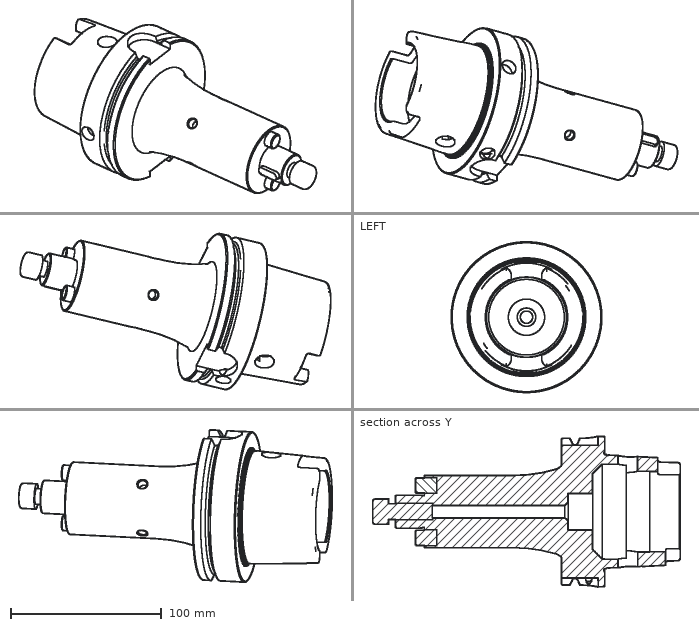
import cadquery as cq
import math


SHANK_LENGTH = 50.0
MOUTH_RADIUS = 35.0
TAPER_ROOT_RADIUS = 37.7
MOUTH_ROUND = 1.8
ROOT_GROOVE_START = -2.5
ROOT_GROOVE_END = -0.8
ROOT_GROOVE_DEPTH = 0.5
ROOT_LAND_RADIUS = 38.0
FACE_RELIEF_INNER_RADIUS = 38.5
FACE_RELIEF_RADIUS = 39.4
FACE_RELIEF_DEPTH = 0.6

BORE_RADIUS = 26.5
BORE_CHAMFER = 0.8
BORE_STRAIGHT_LENGTH = 20.4
BORE_RELIEF_RADIUS = 26.7
BORE_RELIEF_DEPTH = 35.9
BORE_RECESS_RADIUS = 31.5
BORE_FLOOR_RADIUS = 25.0
BORE_DEPTH = 58.1
COOLANT_SEAT_RADIUS = 12.0
COOLANT_SEAT_DEPTH = 16.3
COOLANT_HOLE_RADIUS = 4.0
COOLANT_COUNTERSINK_RADIUS = 6.1

SLOT_HALF_WIDTH = 10.0
SLOT_WALL_TOP = 27.3
SLOT_SHOULDER_RADIUS = 6.0
SLOT_FLARE_HALF_WIDTH = 20.4
SLOT_FLOOR_FILLET = 1.8
UPPER_SLOT_DEPTH = 14.9
LOWER_SLOT_DEPTH = 9.8

CROSS_HOLE_DIAMETER = 12.6
CROSS_HOLE_X = -15.0

FLANGE_RADIUS = 50.0
FLANGE_WIDTH = 29.0
FLANGE_CHAMFER = 0.6
FLANGE_BACK_CHAMFER = 0.8
V_GROOVE_CENTRE = 20.0
V_GROOVE_TOP_WIDTH = 6.5
V_GROOVE_FLOOR_WIDTH = 2.0
V_GROOVE_BEND_X = 18.0
V_GROOVE_BEND_RADIUS = 46.9
V_GROOVE_FLOOR_RADIUS = 45.7

KEYWAY_WIDTH = 22.0
KEYWAY_START = 4.7
KEYWAY_FLOOR = 44.0

RIM_HOLE_DIAMETER = 10.0
RIM_HOLE_DEPTH = 6.1
SIDE_HOLE_X = 7.0
LOWER_HOLE_X = 8.8
LOWER_HOLE_ANGLE = 73.0

NECK_BASE_RADIUS = 30.5
NECK_BASE_ARC = 6.7
NECK_ARC_START = 32.6
NECK_ARC_START_RADIUS = 28.1
BODY_START = 61.0
BODY_RADIUS = 24.0
BODY_END = 119.9
BODY_CHAMFER = 0.6

BODY_HOLE_X = 68.7
BODY_HOLE_DIAMETER = 6.1
BODY_HOLE_MOUTH_DIAMETER = 7.1
BODY_HOLE_CHAMFER_DEPTH = 0.6
BODY_HOLE_DEPTH = 7.1
BODY_HOLE_ANGLES = (45.0, 135.0, 225.0, 315.0)

ARBOR_RADIUS = 11.0
ARBOR_LENGTH = 19.0
ARBOR_CHAMFER = 0.6
UNDERCUT_DEPTH = 0.5
UNDERCUT_FLAT = 0.8
UNDERCUT_LENGTH = 2.2

KEY_WIDTH = 5.7
KEY_LENGTH = 14.7
KEY_START = BODY_END + 1.5
KEY_TOP = 13.3
KEY_SEAT = 7.1
KEY_SEAT_CLEARANCE = 1.0

PIN_DIAMETER = 10.2
PIN_OFFSET = 17.3
PIN_PROJECTION = 5.7
PIN_SEAT_DEPTH = 8.2
PIN_CHAMFER = 0.6

SCREW_RADIUS = 5.3
SCREW_SEAT_DEPTH = 24.5
SCREW_HEAD_RADIUS = 8.46
SCREW_HEAD_START = 143.3
SCREW_HEAD_END = 204.0 - SHANK_LENGTH
SCREW_HEAD_ROUND = 1.8

ARBOR_END = BODY_END + ARBOR_LENGTH
SCREW_START = ARBOR_END - SCREW_SEAT_DEPTH


def revolve_about_x(profile):
    """Revolve a closed profile, drawn as (x, radius), about the tool axis."""
    return profile.close().revolve(360, (0, 0, 0), (1, 0, 0))


def x_cylinder(radius, start, end):
    """Cylinder on the tool axis from one X position to another."""
    return cq.Workplane("YZ").workplane(offset=start).circle(radius).extrude(end - start)


def make_outer_shape():
    """Revolved outer shape of the shank, flange, neck, body and arbor."""
    taper_slope = (TAPER_ROOT_RADIUS - MOUTH_RADIUS) / SHANK_LENGTH
    groove_edge_radius = TAPER_ROOT_RADIUS + taper_slope * ROOT_GROOVE_START
    groove_middle = (ROOT_GROOVE_START + ROOT_GROOVE_END) / 2
    groove_half_top = V_GROOVE_TOP_WIDTH / 2
    groove_half_floor = V_GROOVE_FLOOR_WIDTH / 2

    neck_length = BODY_START - NECK_ARC_START
    neck_rise = NECK_ARC_START_RADIUS - BODY_RADIUS
    neck_arc_radius = (neck_length**2 + neck_rise**2) / (2 * neck_rise)
    neck_middle_rise = neck_arc_radius - math.sqrt(neck_arc_radius**2 - (neck_length / 2) ** 2)
    neck_middle = (BODY_START - neck_length / 2, BODY_RADIUS + neck_middle_rise)

    profile = (
        cq.Workplane("XZ")
        .moveTo(-SHANK_LENGTH, 0)
        .lineTo(-SHANK_LENGTH, MOUTH_RADIUS)
        .lineTo(ROOT_GROOVE_START, groove_edge_radius)
        .lineTo(groove_middle, groove_edge_radius - ROOT_GROOVE_DEPTH)
        .lineTo(ROOT_GROOVE_END, ROOT_LAND_RADIUS)
        .lineTo(0, ROOT_LAND_RADIUS)
        .lineTo(FACE_RELIEF_DEPTH, FACE_RELIEF_INNER_RADIUS)
        .lineTo(FACE_RELIEF_DEPTH, FACE_RELIEF_RADIUS)
        .lineTo(0, FACE_RELIEF_RADIUS)
        .lineTo(0, FLANGE_RADIUS - FLANGE_CHAMFER)
        .lineTo(FLANGE_CHAMFER, FLANGE_RADIUS)
        .lineTo(V_GROOVE_CENTRE - groove_half_top, FLANGE_RADIUS)
        .lineTo(V_GROOVE_BEND_X, V_GROOVE_BEND_RADIUS)
        .lineTo(V_GROOVE_CENTRE - groove_half_floor, V_GROOVE_FLOOR_RADIUS)
        .lineTo(V_GROOVE_CENTRE + groove_half_floor, V_GROOVE_FLOOR_RADIUS)
        .lineTo(V_GROOVE_CENTRE + groove_half_top, FLANGE_RADIUS)
        .lineTo(FLANGE_WIDTH - FLANGE_BACK_CHAMFER, FLANGE_RADIUS)
        .lineTo(FLANGE_WIDTH, FLANGE_RADIUS - FLANGE_BACK_CHAMFER)
        .lineTo(FLANGE_WIDTH, NECK_BASE_RADIUS)
        .radiusArc((NECK_ARC_START, NECK_ARC_START_RADIUS), -NECK_BASE_ARC)
        .threePointArc(neck_middle, (BODY_START, BODY_RADIUS))
        .lineTo(BODY_END - BODY_CHAMFER, BODY_RADIUS)
        .lineTo(BODY_END, BODY_RADIUS - BODY_CHAMFER)
        .lineTo(BODY_END, ARBOR_RADIUS - UNDERCUT_DEPTH)
        .lineTo(BODY_END + UNDERCUT_FLAT, ARBOR_RADIUS - UNDERCUT_DEPTH)
        .lineTo(BODY_END + UNDERCUT_LENGTH, ARBOR_RADIUS)
        .lineTo(ARBOR_END - ARBOR_CHAMFER, ARBOR_RADIUS)
        .lineTo(ARBOR_END, ARBOR_RADIUS - ARBOR_CHAMFER)
        .lineTo(ARBOR_END, 0)
    )
    return revolve_about_x(profile)


def make_bore():
    """Shank bore with its coolant seat and the coolant hole that leads to the screw."""
    bore_end = BORE_DEPTH - SHANK_LENGTH
    floor_chamfer = BORE_RECESS_RADIUS - BORE_FLOOR_RADIUS
    seat_end = bore_end + COOLANT_SEAT_DEPTH
    countersink = COOLANT_COUNTERSINK_RADIUS - COOLANT_HOLE_RADIUS
    profile = (
        cq.Workplane("XZ")
        .moveTo(-SHANK_LENGTH, 0)
        .lineTo(-SHANK_LENGTH, BORE_RADIUS + BORE_CHAMFER)
        .lineTo(BORE_CHAMFER - SHANK_LENGTH, BORE_RADIUS)
        .lineTo(BORE_STRAIGHT_LENGTH - SHANK_LENGTH, BORE_RADIUS)
        .lineTo(BORE_STRAIGHT_LENGTH - SHANK_LENGTH, BORE_RELIEF_RADIUS)
        .lineTo(BORE_RELIEF_DEPTH - SHANK_LENGTH, BORE_RELIEF_RADIUS)
        .lineTo(BORE_RELIEF_DEPTH - SHANK_LENGTH, BORE_RECESS_RADIUS)
        .lineTo(bore_end - floor_chamfer, BORE_RECESS_RADIUS)
        .lineTo(bore_end, BORE_FLOOR_RADIUS)
        .lineTo(bore_end, COOLANT_SEAT_RADIUS)
        .lineTo(seat_end, COOLANT_SEAT_RADIUS)
        .lineTo(seat_end, COOLANT_COUNTERSINK_RADIUS)
        .lineTo(seat_end + countersink, COOLANT_HOLE_RADIUS)
        .lineTo(SCREW_START, COOLANT_HOLE_RADIUS)
        .lineTo(SCREW_START, 0)
    )
    return revolve_about_x(profile)


def make_drive_slot(depth):
    """Cutter for the upper drive slot: straight walls that flare out round the tooth shoulders."""
    shoulder_top = SLOT_WALL_TOP + SLOT_SHOULDER_RADIUS
    shoulder_end = SLOT_HALF_WIDTH + SLOT_SHOULDER_RADIUS
    arc_offset = SLOT_SHOULDER_RADIUS * math.sqrt(0.5)
    arc_middle = (shoulder_end - arc_offset, SLOT_WALL_TOP + arc_offset)
    inner_edge = BORE_RADIUS / 2
    return (
        cq.Workplane("YZ")
        .workplane(offset=-SHANK_LENGTH)
        .moveTo(-SLOT_HALF_WIDTH, inner_edge)
        .lineTo(SLOT_HALF_WIDTH, inner_edge)
        .lineTo(SLOT_HALF_WIDTH, SLOT_WALL_TOP)
        .threePointArc(arc_middle, (shoulder_end, shoulder_top))
        .lineTo(SLOT_FLARE_HALF_WIDTH, shoulder_top)
        .lineTo(SLOT_FLARE_HALF_WIDTH, FLANGE_RADIUS)
        .lineTo(-SLOT_FLARE_HALF_WIDTH, FLANGE_RADIUS)
        .lineTo(-SLOT_FLARE_HALF_WIDTH, shoulder_top)
        .lineTo(-shoulder_end, shoulder_top)
        .threePointArc((-arc_middle[0], arc_middle[1]), (-SLOT_HALF_WIDTH, SLOT_WALL_TOP))
        .close()
        .extrude(depth)
        .faces(">X")
        .edges()
        .fillet(SLOT_FLOOR_FILLET)
    )


def make_keyway():
    """Cutter for the upper flange keyway: round-ended and open toward the body."""
    half_width = KEYWAY_WIDTH / 2
    return (
        cq.Workplane("XY")
        .workplane(offset=KEYWAY_FLOOR)
        .moveTo(FLANGE_WIDTH, -half_width)
        .lineTo(KEYWAY_START + half_width, -half_width)
        .threePointArc((KEYWAY_START, 0), (KEYWAY_START + half_width, half_width))
        .lineTo(FLANGE_WIDTH, half_width)
        .close()
        .extrude(FLANGE_RADIUS - KEYWAY_FLOOR)
    )


def half_turn(shape):
    """The same shape turned half a turn about the tool axis."""
    return shape.rotate((0, 0, 0), (1, 0, 0), 180)


def make_rim_hole(x, angle):
    """Cutter for a blind hole in the flange rim, turned from -Y toward -Z by an angle."""
    return (
        cq.Workplane("XZ")
        .workplane(offset=FLANGE_RADIUS - RIM_HOLE_DEPTH)
        .center(x, 0)
        .circle(RIM_HOLE_DIAMETER / 2)
        .extrude(2 * RIM_HOLE_DEPTH)
        .rotate((0, 0, 0), (1, 0, 0), angle)
    )


def make_body_hole(angle):
    """Cutter for a blind hole in the body with a chamfered mouth, turned from +Z by an angle."""
    hole_radius = BODY_HOLE_DIAMETER / 2
    mouth_radius = BODY_HOLE_MOUTH_DIAMETER / 2
    rim = math.sqrt(BODY_RADIUS**2 - mouth_radius**2)
    profile = (
        cq.Workplane("XZ")
        .moveTo(0, BODY_RADIUS - BODY_HOLE_DEPTH)
        .lineTo(hole_radius, BODY_RADIUS - BODY_HOLE_DEPTH)
        .lineTo(hole_radius, rim - BODY_HOLE_CHAMFER_DEPTH)
        .lineTo(mouth_radius, rim)
        .lineTo(mouth_radius, BODY_RADIUS)
        .lineTo(0, BODY_RADIUS)
        .close()
    )
    hole = profile.revolve(360, (0, 0, 0), (0, 1, 0)).translate((BODY_HOLE_X, 0, 0))
    return hole.rotate((0, 0, 0), (1, 0, 0), angle)


def make_key(length):
    """Round-ended key on the -Y side of the arbor; also the cutter for its seat."""
    return (
        cq.Workplane("XZ")
        .workplane(offset=KEY_SEAT)
        .center(KEY_START + length / 2, 0)
        .slot2D(length, KEY_WIDTH)
        .extrude(KEY_TOP - KEY_SEAT)
    )


def make_pin(side):
    """Drive pin above (+1) or below (-1) the arbor; also the cutter for its seat."""
    return (
        cq.Workplane("YZ")
        .workplane(offset=BODY_END - PIN_SEAT_DEPTH)
        .center(0, side * PIN_OFFSET)
        .circle(PIN_DIAMETER / 2)
        .extrude(PIN_SEAT_DEPTH + PIN_PROJECTION)
        .faces(">X")
        .chamfer(PIN_CHAMFER)
    )


def make_screw():
    """Clamping screw: plain shaft with a round-edged head."""
    shaft = x_cylinder(SCREW_RADIUS, SCREW_START, SCREW_HEAD_START)
    head = x_cylinder(SCREW_HEAD_RADIUS, SCREW_HEAD_START, SCREW_HEAD_END)
    head = head.faces(">X").edges().fillet(SCREW_HEAD_ROUND)
    return shaft.union(head)


def make_holder(pins, screw):
    """Tool holder with seats for the pins, the key and the screw."""
    holder = make_outer_shape()
    holder = holder.cut(make_drive_slot(UPPER_SLOT_DEPTH))
    holder = holder.cut(half_turn(make_drive_slot(LOWER_SLOT_DEPTH)))
    holder = holder.faces("<X").edges().fillet(MOUTH_ROUND)
    holder = holder.cut(make_bore())

    cross_hole = cq.Workplane("XY").center(CROSS_HOLE_X, 0).circle(CROSS_HOLE_DIAMETER / 2)
    holder = holder.cut(cross_hole.extrude(FLANGE_RADIUS, both=True))

    keyway = make_keyway()
    holder = holder.cut(keyway).cut(half_turn(keyway))
    holder = holder.cut(make_rim_hole(SIDE_HOLE_X, 0))
    holder = holder.cut(make_rim_hole(LOWER_HOLE_X, LOWER_HOLE_ANGLE))
    for angle in BODY_HOLE_ANGLES:
        holder = holder.cut(make_body_hole(angle))

    for pin in pins:
        holder = holder.cut(pin)
    holder = holder.cut(make_key(KEY_LENGTH + KEY_SEAT_CLEARANCE))
    return holder.cut(screw)


pins = [make_pin(side) for side in (1, -1)]
key = make_key(KEY_LENGTH)
screw = make_screw()
holder = make_holder(pins, screw)

result = cq.Compound.makeCompound(
    [holder.val(), *[pin.val() for pin in pins], key.val(), screw.val()]
)